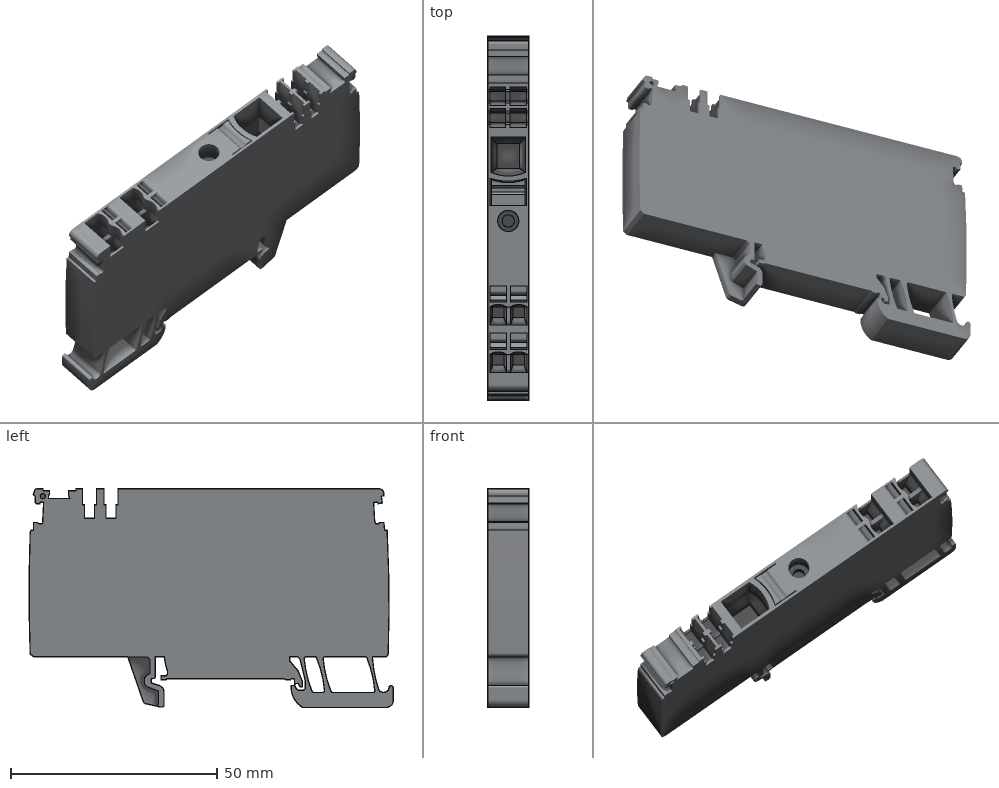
import cadquery as cq
import math

THICKNESS = 10.0
HALF = THICKNESS / 2
LENGTH = 88.35
TOP = 53.1

BODY_BOTTOM = 12.3
RAIL_SEAT = 7.0
FOOT_TOP = 3.7
MARKER_FLOOR = 50.7
SHOULDER = 43.0
BULGE_MID = 27.7
END_INSET = 0.3

RIB_OPENINGS = [(21.65, 18.7), (17.05, 6.5)]
RIB_LEAN = 2.0
RIB_WAIST = 0.35
RIB_MID = (BODY_BOTTOM + FOOT_TOP) / 2
CORNER_RADIUS = 0.35

GUSSET_THICKNESS = 1.9

BRIDGE_CENTRES = [73.7, 68.5]
BRIDGE_FLOOR = 45.9
BRIDGE_POCKET_FLOOR = 45.1
BRIDGE_STEP = 49.2
BRIDGE_NARROW = 2.4
BRIDGE_WIDE = 3.4
BRIDGE_POCKET_TOP = 4.6
BRIDGE_POCKETS_X = [(-4.4, -0.6), (0.4, 4.4)]

TAPER_DEPTH = 2.65
HOLE_DEPTH = 2.65

SOCKET_BACK = 63.8
SOCKET_FRONT = 55.3
SOCKET_BOW = 1.0
SOCKET_WIDTH = 8.5
SOCKET_HOLE_WIDTH = 5.5
SOCKET_HOLE_BACK = 62.2
SOCKET_HOLE_FRONT = 56.2
SOCKET_WELL_DEPTH = 7.95

LEVER_FRONT = 47.3
LEVER_BACK = 53.8
LEVER_BOW = 0.7
LEVER_POCKET_WIDTH = 8.8
LEVER_GAP = 0.35
LEVER_GROOVE = [52.0, 51.5, 50.45, 49.9]
LEVER_GROOVE_DEPTH = 0.4
ACTUATOR_DEPTH = 7.1

LAMP_Y = 43.5
LAMP_RADIUS = 2.6
LAMP_DEPTH = 5.3
LAMP_BORE_RADIUS = 1.5
LAMP_BORE_DEPTH = 7.95

TERMINAL_ROWS = [27.7, 16.3]
TERMINAL_COLUMNS = [-2.43, 2.52]
TERMINAL_WIDTH = 4.0
BUTTON_POCKET_LENGTH = 4.0
BUTTON_LENGTH = 3.45
BUTTON_FLAT = 1.3
BUTTON_EDGE_RADIUS = 0.7
BUTTON_EDGE_ANGLE = math.radians(60)
BUTTON_DROP = 1.0
BUTTON_GROOVE_DEPTH = 1.1
FUNNEL_BACK = 5.1
FUNNEL_FRONT = 9.5
FUNNEL_BOW = 0.6
FUNNEL_HOLE_WIDTH = 2.7
FUNNEL_HOLE_BACK = 5.1
FUNNEL_HOLE_FRONT = 7.7
FUNNEL_WELL_DEPTH = 4.4

EYELET_Y = 85.0
EYELET_Z = 51.2
EYELET_RADIUS = 0.6
EYELET_DEPTH = 0.9


def box_between(x_low, x_high, y_low, y_high, z_low, z_high):
    """Axis-aligned block given by its limits."""
    size = (x_high - x_low, y_high - y_low, z_high - z_low)
    return cq.Workplane("XY").box(*size, centered=False).translate((x_low, y_low, z_low))


def side_prism(points, x_low, x_high):
    """Polygon of (Y, Z) points extruded along X."""
    return cq.Workplane("YZ", origin=(x_low, 0, 0)).polyline(points).close().extrude(x_high - x_low)


def side_profile():
    """Outer outline of the housing, swept over its full thickness."""
    marker_head = [
        (76.95, TOP), (76.95, 52.6), (78.8, 52.6), (78.8, 51.5), (78.45, MARKER_FLOOR),
        (83.6, MARKER_FLOOR), (83.6, 51.5), (83.3, 51.5), (83.3, 52.6), (84.9, 52.6),
        (84.9, TOP), (86.2, TOP),
    ]
    back_neck = [
        (87.1, 52.0), (87.4, 51.6), (86.85, 51.2), (86.85, 49.7), (86.5, 49.4),
        (85.6, 49.4), (85.6, 49.7), (84.8, 49.7), (85.1, 44.6), (86.0, 44.6), (86.3, 44.9), (87.3, 44.9),
        (87.3, SHOULDER), (87.8, SHOULDER), (LENGTH - END_INSET, 42.5),
    ]
    latch_arm = [
        (87.1, BODY_BOTTOM), (59.7, BODY_BOTTOM), (59.0, 11.7), (59.0, 8.2), (59.9, 7.8),
        (60.3, 7.2), (60.3, 5.8), (59.9, 5.1), (56.9, 4.0), (56.9, 1.15), (57.2, 0.3),
        (56.6, 0.1), (55.9, 0.1), (55.6, 0.4), (55.6, 4.0),
    ]
    latch_nose = [
        (58.7, 6.0), (58.7, 7.0), (57.9, 7.1), (57.7, 7.5), (57.7, BODY_BOTTOM),
        (55.6, BODY_BOTTOM), (55.2, 10.2), (54.8, 8.8), (54.8, 8.1), (55.0, 7.8),
        (56.4, 7.8), (56.4, 6.7), (55.1, 6.7), (54.9, RAIL_SEAT),
    ]
    foot_toe = [
        (26.5, RAIL_SEAT), (26.1, 6.7), (25.0, 6.7), (24.7, RAIL_SEAT), (24.0, RAIL_SEAT),
        (24.0, 5.4), (24.8, 5.4), (24.8, 4.5),
    ]
    front_head = [
        (2.1, SHOULDER), (2.3, 44.9), (3.4, 44.9), (3.6, 44.6), (4.2, 44.6), (4.5, 45.1),
        (4.8, 49.7), (3.8, 49.7), (3.7, 49.4), (2.65, 49.6),
        (2.9, 51.2), (2.3, 51.2), (2.3, 51.95),
    ]
    outline = (
        cq.Workplane("YZ", origin=(-HALF, 0, 0))
        .polyline(marker_head)
        .threePointArc((86.85, 52.8), (87.1, 52.2))
        .polyline(back_neck, includeCurrent=True)
        .threePointArc((LENGTH, BULGE_MID), (LENGTH - END_INSET, 13.0))
        .polyline(latch_arm, includeCurrent=True)
        .threePointArc((56.3, 5.1), (57.1, 5.5))
        .polyline(latch_nose, includeCurrent=True)
        .polyline(foot_toe, includeCurrent=True)
        .threePointArc((23.85, 1.8), (22.0, 0))
        .lineTo(1.8, 0)
        .threePointArc((0.5, 0.5), (0, 1.8))
        .lineTo(0, 4.7)
        .threePointArc((0.4, 5.3), (1.1, 5.1))
        .threePointArc((2.5, FOOT_TOP), (3.5, 4.3))
        .threePointArc((4.5, RIB_MID), (5.0, 11.8))
        .lineTo(5.0, BODY_BOTTOM)
        .lineTo(2.3, BODY_BOTTOM)
        .threePointArc((1.6, 12.5), (1.2, 13.2))
        .threePointArc((1.1, BULGE_MID), (1.5, SHOULDER))
        .polyline(front_head, includeCurrent=True)
        .threePointArc((2.7, 52.75), (3.6, TOP))
        .close()
    )
    return outline.extrude(THICKNESS)


def rib_opening(back, front):
    """Opening between two waisted, leaning ribs of the foot."""
    foot_back = back - RIB_LEAN
    foot_front = front - RIB_LEAN
    opening = (
        cq.Workplane("YZ", origin=(-HALF, 0, 0))
        .moveTo(back, BODY_BOTTOM)
        .lineTo(front, BODY_BOTTOM)
        .threePointArc(((front + foot_front) / 2 - RIB_WAIST, RIB_MID), (foot_front, FOOT_TOP))
        .lineTo(foot_back, FOOT_TOP)
        .threePointArc(((back + foot_back) / 2 + RIB_WAIST, RIB_MID), (back, BODY_BOTTOM))
        .close()
        .extrude(THICKNESS)
    )
    return opening.edges("|X").fillet(CORNER_RADIUS)


def hook_opening():
    """Opening between the rail hook and the first rib, curling round the hook tip."""
    opening = (
        cq.Workplane("YZ", origin=(-HALF, 0, 0))
        .moveTo(25.1, BODY_BOTTOM)
        .lineTo(23.2, BODY_BOTTOM)
        .lineTo(22.7, 11.8)
        .threePointArc((21.8, 8.3), (21.4, 6.45))
        .lineTo(21.4, 4.6)
        .lineTo(21.7, 4.2)
        .lineTo(23.1, 4.2)
        .threePointArc((23.6, 4.7), (23.8, 5.8))
        .lineTo(23.1, 5.8)
        .lineTo(22.7, 5.0)
        .lineTo(22.1, 5.0)
        .lineTo(22.1, 6.45)
        .lineTo(23.1, 8.8)
        .lineTo(25.1, 11.3)
        .close()
    )
    return opening.extrude(THICKNESS)


def latch_gusset():
    """Triangular stiffener behind the latch arm, flush with the +X side."""
    corners = [
        (64.4, BODY_BOTTOM), (60.6, 1.3), (60.25, 1.0), (57.2, 0.3), (56.9, 1.15), (56.9, 4.0),
        (59.9, 5.1), (60.3, 5.8), (60.3, 7.2), (59.9, 7.8), (59.0, 8.2), (59.0, BODY_BOTTOM),
    ]
    return side_prism(corners, HALF - GUSSET_THICKNESS, HALF)


def bridge_slot(centre):
    """Stepped slot across the housing, widened by two tapered pockets."""
    narrow = BRIDGE_NARROW / 2
    wide = BRIDGE_WIDE / 2
    pocket_half = BRIDGE_POCKET_TOP / 2
    lower = box_between(-HALF, HALF, centre - narrow, centre + narrow, BRIDGE_FLOOR, TOP)
    upper = box_between(-HALF, HALF, centre - wide, centre + wide, BRIDGE_STEP, TOP)
    slot = lower.union(upper)
    taper = [
        (centre - narrow, BRIDGE_POCKET_FLOOR), (centre + narrow, BRIDGE_POCKET_FLOOR),
        (centre + pocket_half, TOP), (centre - pocket_half, TOP),
    ]
    for x_low, x_high in BRIDGE_POCKETS_X:
        slot = slot.union(side_prism(taper, x_low, x_high))
    return slot


def bowed_outline(centre_x, width, straight_y, bowed_y, bow, z=TOP):
    """Horizontal outline: three straight sides and one bowed side at bowed_y."""
    left = centre_x - width / 2
    right = centre_x + width / 2
    return (
        cq.Workplane("XY", origin=(0, 0, z))
        .moveTo(left, straight_y)
        .lineTo(right, straight_y)
        .lineTo(right, bowed_y)
        .threePointArc((centre_x, bowed_y + bow), (left, bowed_y))
        .close()
    )


def tapered_well(mouth, well_depth, hole_width, hole_front, hole_back):
    """Straight well under a bowed mouth, then a taper into a blind rectangular hole.

    The mouth holds the first five arguments of bowed_outline.
    """
    centre_x = mouth[0]
    hole_half = hole_width / 2
    hole_y = (hole_front + hole_back) / 2
    well_floor = TOP - well_depth
    taper_floor = well_floor - TAPER_DEPTH
    well = bowed_outline(*mouth).extrude(-well_depth)
    taper = (
        bowed_outline(*mouth, z=well_floor)
        .workplane(offset=-TAPER_DEPTH, origin=(centre_x, hole_y, well_floor))
        .rect(hole_width, hole_back - hole_front)
        .loft(ruled=True)
    )
    hole = box_between(
        centre_x - hole_half, centre_x + hole_half, hole_front, hole_back,
        taper_floor - HOLE_DEPTH, taper_floor,
    )
    return well.union(taper).union(hole)


def test_socket():
    mouth = (0, SOCKET_WIDTH, SOCKET_BACK, SOCKET_FRONT, -SOCKET_BOW)
    return tapered_well(
        mouth, SOCKET_WELL_DEPTH, SOCKET_HOLE_WIDTH, SOCKET_HOLE_FRONT, SOCKET_HOLE_BACK
    )


def wire_funnel(centre_x, row):
    mouth = (centre_x, TERMINAL_WIDTH, row - FUNNEL_FRONT, row - FUNNEL_BACK, FUNNEL_BOW)
    return tapered_well(
        mouth, FUNNEL_WELL_DEPTH, FUNNEL_HOLE_WIDTH, row - FUNNEL_HOLE_FRONT, row - FUNNEL_HOLE_BACK
    )


def wall_cuts(row):
    """Lowers the web between two funnels and the thin wall on the +X side."""
    y_low = row - FUNNEL_FRONT
    y_high = row - FUNNEL_BACK
    left, right = TERMINAL_COLUMNS
    half_width = TERMINAL_WIDTH / 2
    floor = TOP - FUNNEL_WELL_DEPTH
    web = box_between(left + half_width, right - half_width, y_low, y_high, floor, TOP)
    side_wall = box_between(right + half_width, HALF, y_low, y_high, floor, TOP)
    return web.union(side_wall)


def lamp_hole():
    recess = cq.Workplane("XY", origin=(0, LAMP_Y, TOP)).circle(LAMP_RADIUS).extrude(-LAMP_DEPTH)
    bore = cq.Workplane("XY", origin=(0, LAMP_Y, TOP)).circle(LAMP_BORE_RADIUS).extrude(-LAMP_BORE_DEPTH)
    return recess.union(bore)


def eyelet():
    return (
        cq.Workplane("YZ", origin=(-HALF, EYELET_Y, EYELET_Z)).circle(EYELET_RADIUS).extrude(EYELET_DEPTH)
    )


def lever_pocket():
    outline = bowed_outline(0, LEVER_POCKET_WIDTH, LEVER_FRONT, LEVER_BACK, -LEVER_BOW)
    return outline.extrude(-ACTUATOR_DEPTH)


def button_pocket(centre_x, row):
    half_width = TERMINAL_WIDTH / 2
    return box_between(
        centre_x - half_width, centre_x + half_width, row - BUTTON_POCKET_LENGTH, row,
        TOP - ACTUATOR_DEPTH, TOP,
    )


def build_housing():
    housing = side_profile().union(latch_gusset())
    for back, front in RIB_OPENINGS:
        housing = housing.cut(rib_opening(back, front))
    housing = housing.cut(hook_opening())
    for centre in BRIDGE_CENTRES:
        housing = housing.cut(bridge_slot(centre))
    housing = housing.cut(test_socket()).cut(lever_pocket()).cut(lamp_hole()).cut(eyelet())
    for row in TERMINAL_ROWS:
        housing = housing.cut(wall_cuts(row))
        for centre_x in TERMINAL_COLUMNS:
            housing = housing.cut(wire_funnel(centre_x, row))
            housing = housing.cut(button_pocket(centre_x, row))
    return housing


def build_lever():
    """Large lever with a screwdriver groove across its top."""
    width = LEVER_POCKET_WIDTH - 2 * LEVER_GAP
    blank = bowed_outline(0, width, LEVER_FRONT, LEVER_BACK - LEVER_GAP, -LEVER_BOW)
    groove_floor = TOP - LEVER_GROOVE_DEPTH
    levels = [TOP, groove_floor, groove_floor, TOP]
    groove = side_prism(list(zip(LEVER_GROOVE, levels)), -HALF, HALF)
    return blank.extrude(-ACTUATOR_DEPTH).cut(groove)


def build_button(centre_x, row):
    """Release button with a rounded edge falling into a groove across its top."""
    half_width = TERMINAL_WIDTH / 2
    front = row - BUTTON_LENGTH
    bottom = TOP - ACTUATOR_DEPTH
    groove_start = row - BUTTON_FLAT
    edge_arc = [
        (
            groove_start - BUTTON_EDGE_RADIUS * math.sin(angle),
            TOP - BUTTON_EDGE_RADIUS * (1 - math.cos(angle)),
        )
        for angle in (BUTTON_EDGE_ANGLE / 2, BUTTON_EDGE_ANGLE)
    ]
    groove_bottom = (groove_start - BUTTON_DROP, TOP - BUTTON_GROOVE_DEPTH)
    return (
        cq.Workplane("YZ", origin=(centre_x - half_width, 0, 0))
        .moveTo(row, bottom)
        .lineTo(row, TOP)
        .lineTo(groove_start, TOP)
        .threePointArc(*edge_arc)
        .lineTo(*groove_bottom)
        .lineTo(front, TOP)
        .lineTo(front, bottom)
        .close()
        .extrude(TERMINAL_WIDTH)
    )


housing = build_housing()
lever = build_lever()
buttons = [build_button(centre_x, row) for row in TERMINAL_ROWS for centre_x in TERMINAL_COLUMNS]

result = cq.Compound.makeCompound([housing.val(), lever.val(), *[button.val() for button in buttons]])